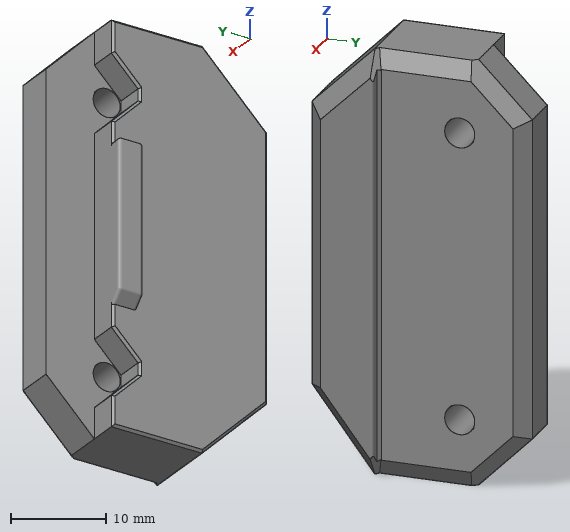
import cadquery as cq
import math

half_length = 24
width = 25.3
corner_cut = 8.0
lug_width = 6.0
split_y = width - lug_width

front_bevel = 0.3
lug_front_x = 3.6
notch_positions_z = (-16.25, 16.1)
notch_half_width = 4.05
notch_depth = 3.3

hole_diameter = 3.35
hole_y = 17.75

back_x = 9.7
lug_chamfer = 1.6
end_chamfer_x = 1.15
end_chamfer_z = 1.95

panel_start_x = 8.3
panel_slope = 0.345
panel_chamfer = 2.0
ridge_y = 8.65
ridge_tip_radius = 0.25
ridge_foot = 0.4

catch_height = 1.3
catch_width = 3.0
catch_half_length = 9.6
catch_fillet = 0.4

cutter_size = 144


def prism(points, start_x, end_x):
    """Extrude a (Y, Z) outline along X."""
    return cq.Workplane("YZ").workplane(offset=start_x).polyline(points).close().extrude(end_x - start_x)


def trim(solid, point, normal):
    """Remove everything beyond the plane through point, on the side normal points to."""
    cutter = cq.Workplane(cq.Plane(origin=point, normal=normal))
    return solid.cut(cutter.rect(cutter_size, cutter_size).extrude(cutter_size))


def make_main_block():
    outline = [
        (corner_cut, -half_length),
        (split_y, -half_length),
        (width, lug_width - half_length),
        (width, half_length - lug_width),
        (split_y, half_length),
        (corner_cut, half_length),
    ]
    block = prism(outline, 0, back_x)
    lug_chamfer_start = (back_x - lug_chamfer, width, 0)
    block = trim(block, lug_chamfer_start, (1, 1, 0))
    for end in (-1, 1):
        corner = (back_x - lug_chamfer, split_y, end * half_length)
        block = trim(block, corner, (math.sqrt(2), 1, end))
        end_edge = (back_x - end_chamfer_x, 0, end * half_length)
        block = trim(block, end_edge, (end_chamfer_z, 0, end * end_chamfer_x))
    return block


def make_sloped_side():
    """Outer side of the body, with the sloped panel and its ridge."""
    rear_y = ridge_y + ridge_foot
    outer_half = half_length - corner_cut
    outline = [
        (0, -outer_half),
        (rear_y, -outer_half - rear_y),
        (rear_y, outer_half + rear_y),
        (0, outer_half),
    ]
    side = prism(outline, 0, panel_start_x + panel_slope * rear_y)
    side = trim(side, (panel_start_x, 0, 0), (1, -panel_slope, 0))

    panel_normal = cq.Vector(1, -panel_slope, 0)
    panel = side.faces(cq.selectors.DirectionMinMaxSelector(panel_normal))
    side = panel.edges("not(>Y)").chamfer(panel_chamfer)

    behind_ridge = (
        cq.Workplane("XY").workplane(offset=-cutter_size / 2)
        .polyline([
            (back_x, rear_y),
            (back_x + ridge_foot, ridge_y),
            (cutter_size, ridge_y),
            (cutter_size, rear_y),
        ]).close().extrude(cutter_size)
    )
    side = side.cut(behind_ridge)
    tip_x = panel_start_x + panel_slope * ridge_y
    tip = cq.selectors.NearestToPointSelector((tip_x, ridge_y, 0))
    side = side.edges(tip).fillet(ridge_tip_radius)

    ridge_end_x = panel_start_x + panel_slope * corner_cut - panel_chamfer
    for end in (-1, 1):
        side = trim(side, (0, 0, end * half_length), (0, 0, end))
        ridge_end = (ridge_end_x, corner_cut, end * half_length)
        side = trim(side, ridge_end, (1, math.sqrt(2), end))
    return side


def cut_front(body):
    """Step the lug back from the front plate and notch the plate around the screw holes."""
    notch_floor_y = split_y - notch_depth
    notch_floor_half = notch_half_width - notch_depth
    edge = [(split_y, -cutter_size)]
    for z in notch_positions_z:
        edge += [
            (split_y, z - notch_half_width),
            (notch_floor_y, z - notch_floor_half),
            (notch_floor_y, z + notch_floor_half),
            (split_y, z + notch_half_width),
        ]
    edge += [(split_y, cutter_size), (cutter_size, cutter_size), (cutter_size, -cutter_size)]
    body = body.cut(prism(edge, 0, lug_front_x))
    return body.faces("<X").edges().chamfer(front_bevel)


def cut_holes(body):
    holes = (
        cq.Workplane("YZ").pushPoints([(hole_y, z) for z in notch_positions_z])
        .circle(hole_diameter / 2).extrude(cutter_size)
    )
    return body.cut(holes)


def make_catch():
    """Rounded bar on the front plate, with a 45 degree lower end."""
    root_x = front_bevel
    catch = (
        cq.Workplane("XZ", origin=(0, split_y, 0))
        .polyline([
            (root_x, -catch_half_length - root_x),
            (-catch_height, catch_height - catch_half_length),
            (-catch_height, catch_half_length),
            (root_x, catch_half_length),
        ]).close().extrude(catch_width)
    )
    return catch.edges("not(>X)").fillet(catch_fillet)


body = make_main_block().union(make_sloped_side())
body = cut_front(body)
body = cut_holes(body)
result = body.union(make_catch())